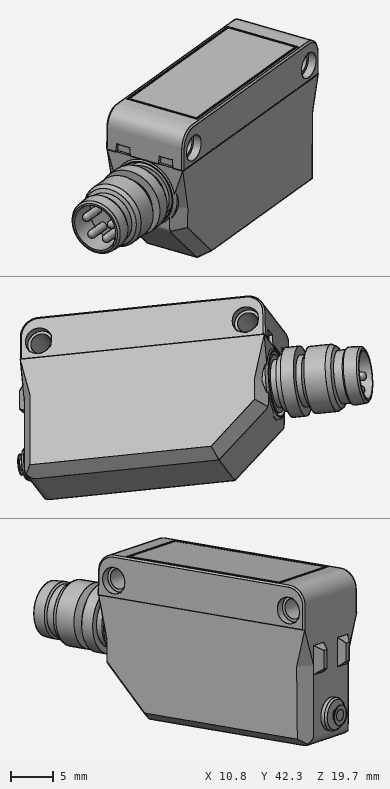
import cadquery as cq
import math

total_length = 42.3
housing_length = 29.9
housing_height = 19.7
cover_width = 10.8
cover_bottom = 14.6
cover_flare = 0.13
cover_corner_radius = 2.25
cover_edge_chamfer = 0.2
body_top_width = 10.58
body_bottom_width = 10.32
front_slope = 6.05
back_corner_radius = 1.45
slope_corner_radius = 0.97

bevel_across = 1.8
bevel_along = 1.23
front_bevel_top = 9.2
back_bevel_top = 9.95

hole_diameter = 2.5
counterbore_diameter = 3.2
counterbore_depth = 1.05
hole_end_offset = 2.3
hole_height = 16.65

window_width = 9.8
window_length = 22.25
window_front = 3.75
groove_width = 0.25
groove_depth = 0.15

notch_base_width = 2.07
notch_top_width = 1.8
notch_height = 1.1
notch_depth = 0.35
notch_spacing = 5.95

connector_height = 10.32
flange_base_diameter = 8.85
flange_diameter = 8.0
flange_inset = 1.9
flange_end = 0.13
dish_diameter = 7.75
dish_depth = 1.05
hub_diameter = 6.9
hub_end = 0.1
neck_diameter = 5.75
neck_end = 0.9
collar_diameter = 6.75
collar_end = 1.65
nut_diameter = 8.35
nut_end = 3.25
waist_diameter = 6.2
waist_end = 3.95
barrel_diameter = 8.0
barrel_cone_end = 4.5
barrel_round_start = 7.1
barrel_end = 7.7
barrel_end_diameter = 7.35
shoulder_end = 7.9
tip_neck_diameter = 6.4
tip_neck_end = 8.95
tip_rim_diameter = 6.9
tip_rim_start = 9.2
tip_rim_end = 9.75
tip_diameter = 6.73
tip_chamfer_start = 10.75
tip_end_diameter = 6.2
connector_length = 10.95
socket_diameter = 5.75
socket_depth = 3.4
pin_diameter = 1.0
pin_tip_radius = 0.45
pin_length = 2.95
upper_pin_spread = 3.45
upper_pin_rise = 0.55
lower_pin_spread = 2.05
lower_pin_drop = 1.5

lens_base_width = 6.9
lens_top_width = 5.15
lens_base_height = 3.55
lens_top_height = 2.25
lens_depth = 0.85
lens_gap_base_width = 2.85
lens_gap_top_width = 3.85
lens_centre_height = 10.58

knob_height = 3.4
knob_base_diameter = 4.0
knob_diameter = 3.7
knob_step = 0.5
knob_depth = 0.8
knob_stem_diameter = 1.4
knob_stem_end = 0.97
knob_waist_diameter = 0.68
knob_waist_end = 1.15
knob_disc_diameter = 2.5
knob_disc_thickness = 0.1

half_top = body_top_width / 2


def centred_box(width, length, height, front, bottom):
    """Box centred on X = 0 with its front face and underside at the given places."""
    box = cq.Workplane("XY").box(width, length, height, centered=(True, False, False))
    return box.translate((0, front, bottom))


def turned(steps, height, face=0.0, outward=-1):
    """Solid turned about an axis along Y, from steps of (distance out from the face, diameter)."""
    outline = [(0, face + outward * steps[0][0])]
    outline += [(diameter / 2, face + outward * distance) for distance, diameter in steps]
    outline.append((0, face + outward * steps[-1][0]))
    solid = cq.Workplane("XY").polyline(outline).close().revolve(360, (0, 0, 0), (0, 1, 0))
    return solid.translate((0, 0, height))


def make_cover():
    """Rounded cap whose front end flares out slightly towards its lower edge."""
    side_outline = [
        (-cover_flare, cover_bottom),
        (0, housing_height),
        (housing_length, housing_height),
        (housing_length, cover_bottom),
    ]
    cover = cq.Workplane("YZ").polyline(side_outline).close().extrude(cover_width / 2, both=True)
    cover = cover.edges(">Z and |X").fillet(cover_corner_radius)
    return cover.faces("<X or >X").edges("not <Z").chamfer(cover_edge_chamfer)


def make_body():
    side_outline = [
        (housing_length, cover_bottom),
        (housing_length, 0),
        (front_slope, 0),
        (0, front_slope),
        (0, cover_bottom),
    ]
    body = cq.Workplane("YZ").polyline(side_outline).close().extrude(half_top, both=True)
    body = body.edges("|X and <Z and >Y").fillet(back_corner_radius)
    body = body.edges(cq.NearestToPointSelector((0, 0, front_slope))).fillet(slope_corner_radius)
    half_bottom = body_bottom_width / 2
    cross_section = [
        (-half_top, cover_bottom),
        (half_top, cover_bottom),
        (half_bottom, 0),
        (-half_bottom, 0),
    ]
    tapered = cq.Workplane("XZ").polyline(cross_section).close().extrude(-housing_length)
    return body.intersect(tapered)


def bevel_corners(place, inward):
    """Triangle cut off the +X edge at a (Y, Z) place; inward is the (Y, Z) direction into the part."""
    edge = cq.Vector(half_top, *place)
    return [edge, edge - cq.Vector(bevel_across, 0, 0), edge + cq.Vector(0, *inward) * bevel_along]


def straight_bevel(start, end, inward):
    """Wedge along the +X edge from one (Y, Z) place to another."""
    wire = cq.Wire.makePolygon(bevel_corners(start, inward), close=True)
    run = cq.Vector(0, end[0] - start[0], end[1] - start[1])
    return cq.Workplane(cq.Solid.extrudeLinear(wire, [], run))


def fading_bevel(face, inward, bottom):
    """Tetrahedron that shrinks a vertical bevel to nothing at the underside of the cover."""
    edge, across, along = bevel_corners((face, bottom), inward)
    tip = cq.Vector(half_top, face, cover_bottom)
    triangles = [(edge, across, along), (edge, across, tip), (across, along, tip), (along, edge, tip)]
    faces = [cq.Face.makeFromWires(cq.Wire.makePolygon(corners, close=True)) for corners in triangles]
    return cq.Workplane(cq.Solid.makeSolid(cq.Shell.makeShell(faces)))


def make_bevels():
    """Material removed along the side edges of the lower body, on both sides."""
    diagonal = math.sqrt(0.5)
    slope_start = (front_slope + bevel_along, -bevel_along)
    slope_end = (-bevel_along, front_slope + bevel_along)
    ends = [(0, (1, 0), front_bevel_top), (housing_length, (-1, 0), back_bevel_top)]
    bevels = straight_bevel((0, 0), (housing_length, 0), (0, 1))
    bevels = bevels.union(straight_bevel(slope_start, slope_end, (diagonal, diagonal)))
    for face, inward, top in ends:
        bevels = bevels.union(straight_bevel((face, 0), (face, top), inward))
        bevels = bevels.union(fading_bevel(face, inward, top))
    return bevels.union(bevels.mirror("YZ"))


def make_cross_holes():
    holes = cq.Workplane("XY")
    for y in (hole_end_offset, housing_length - hole_end_offset):
        centre = cq.Workplane("YZ").center(y, hole_height)
        holes = holes.union(centre.circle(hole_diameter / 2).extrude(cover_width / 2, both=True))
        counterbore = centre.circle(counterbore_diameter / 2).extrude(counterbore_depth)
        holes = holes.union(counterbore.translate((cover_width / 2 - counterbore_depth, 0, 0)))
        holes = holes.union(counterbore.translate((-cover_width / 2, 0, 0)))
    return holes


def make_window_groove():
    bottom = housing_height - groove_depth
    outer = centred_box(window_width, window_length, groove_depth, window_front, bottom)
    inner_width = window_width - 2 * groove_width
    inner_length = window_length - 2 * groove_width
    inner = centred_box(inner_width, inner_length, groove_depth, window_front + groove_width, bottom)
    return outer.cut(inner)


def make_latch_notches():
    half_base = notch_base_width / 2
    half_tip = notch_top_width / 2
    notch_outline = [
        (-half_base, cover_bottom),
        (half_base, cover_bottom),
        (half_tip, cover_bottom + notch_height),
        (-half_tip, cover_bottom + notch_height),
    ]
    notch = cq.Workplane("XZ").polyline(notch_outline).close().extrude(-notch_depth - cover_flare)
    notch = notch.translate((0, -cover_flare, 0))
    left = notch.translate((-notch_spacing / 2, 0, 0))
    return left.union(notch.translate((notch_spacing / 2, 0, 0)))


def make_connector():
    """Plug with a flange ring, a nut and a barrel, and a socket holding four pins."""
    steps = [
        (-flange_inset, flange_base_diameter),
        (-flange_end, flange_base_diameter),
        (flange_end, flange_diameter),
        (flange_end, dish_diameter),
        (-dish_depth, dish_diameter),
        (-dish_depth, hub_diameter),
        (hub_end, hub_diameter),
        (hub_end, neck_diameter),
        (neck_end, neck_diameter),
        (neck_end, collar_diameter),
        (collar_end, collar_diameter),
        (collar_end, nut_diameter),
        (nut_end, nut_diameter),
        (nut_end, waist_diameter),
        (waist_end, waist_diameter),
        (barrel_cone_end, barrel_diameter),
        (barrel_round_start, barrel_diameter),
        (barrel_end, barrel_end_diameter),
        (shoulder_end, tip_neck_diameter),
        (tip_neck_end, tip_neck_diameter),
        (tip_rim_start, tip_rim_diameter),
        (tip_rim_end, tip_rim_diameter),
        (tip_chamfer_start, tip_diameter),
        (connector_length, tip_end_diameter),
    ]
    plug = turned(steps, connector_height)
    floor = connector_length - socket_depth
    socket = turned([(floor, socket_diameter), (connector_length, socket_diameter)], connector_height)
    plug = plug.cut(socket)
    pin = cq.Workplane("XZ").circle(pin_diameter / 2).extrude(pin_length)
    pin = pin.faces("<Y").edges().fillet(pin_tip_radius)
    for spread, rise in [(upper_pin_spread, upper_pin_rise), (lower_pin_spread, -lower_pin_drop)]:
        for side in (-1, 1):
            plug = plug.union(pin.translate((side * spread / 2, -floor, connector_height + rise)))
    return plug


def make_lens():
    """Two bevelled halves with a flared upright gap between them."""
    base = cq.Workplane("XZ", origin=(0, housing_length, lens_centre_height))
    lens = base.rect(lens_base_width, lens_base_height).workplane(offset=-lens_depth)
    lens = lens.rect(lens_top_width, lens_top_height).loft()
    lens_end = housing_length + lens_depth
    gap_outline = [
        (-lens_gap_base_width / 2, housing_length),
        (lens_gap_base_width / 2, housing_length),
        (lens_gap_top_width / 2, lens_end),
        (-lens_gap_top_width / 2, lens_end),
    ]
    gap = cq.Workplane("XY").polyline(gap_outline).close().extrude(housing_height)
    return lens.cut(gap)


def make_knob():
    knob_length = total_length - connector_length - housing_length
    disc_start = knob_length - knob_disc_thickness
    steps = [
        (0, knob_base_diameter),
        (knob_step, knob_base_diameter),
        (knob_depth, knob_diameter),
        (knob_depth, knob_stem_diameter),
        (knob_stem_end, knob_stem_diameter),
        (knob_stem_end, knob_waist_diameter),
        (knob_waist_end, knob_waist_diameter),
        (knob_waist_end, knob_stem_diameter),
        (disc_start, knob_stem_diameter),
        (disc_start, knob_disc_diameter),
        (knob_length, knob_disc_diameter),
    ]
    return turned(steps, knob_height, housing_length, 1)


dish = turned([(-dish_depth, dish_diameter), (flange_end, dish_diameter)], connector_height)
body = make_body().cut(make_bevels()).cut(dish)
cover = make_cover().cut(make_cross_holes()).cut(make_window_groove()).cut(make_latch_notches()).cut(dish)
housing = cover.union(body)
result = housing.union(make_connector()).union(make_lens()).union(make_knob())